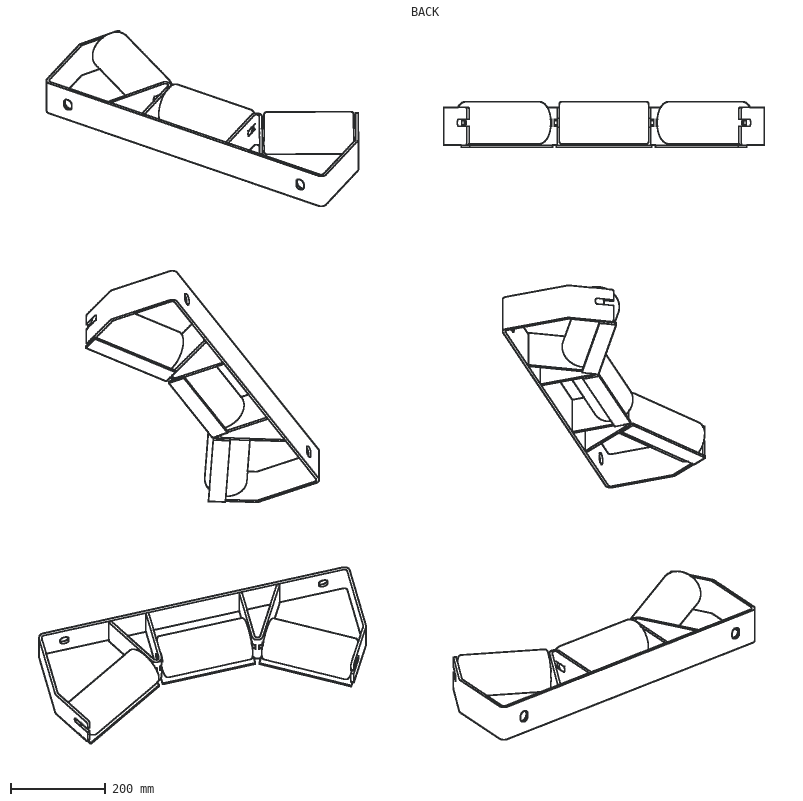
import cadquery as cq
import math

frame_length = 680.0
frame_height = 80.0
bar_thickness = 6.0
bend_radius = 12.0
end_leg_tip = 30.0
end_leg_corner_radius = 5.0

roller_radius = 45.0
roller_length = 190.0
roller_edge_radius = 6.0
axis_height = 47.5
trough_angle = 30.0
mounting_span = 198.0

middle_roller_y = 100.5
side_roller_x = 215.0
side_roller_y = 158.07

shaft_radius = 10.0
shaft_flat_width = 14.0
shaft_rear_flat = 9.0

strip_length = 203.0
strip_width = 36.0
strip_thickness = 5.0

fixing_slot_width = 19.0
fixing_slot_height = 26.0
fixing_slot_x = 283.0

slot_run = 45.0

half_span = mounting_span / 2
outer_half_span = half_span + bar_thickness
inner_bend_radius = bend_radius - bar_thickness
cos_trough = math.cos(math.radians(trough_angle))
sin_trough = math.sin(math.radians(trough_angle))

left_station = (-side_roller_x, side_roller_y, -trough_angle)
middle_station = (0, middle_roller_y, 0)
right_station = (side_roller_x, side_roller_y, trough_angle)
stations = [left_station, middle_station, right_station]


def left_roller_point(along, across):
    """XY of a point given along and across the left roller's axis, from the roller's centre."""
    return (
        -side_roller_x + along * cos_trough + across * sin_trough,
        side_roller_y - along * sin_trough + across * cos_trough,
    )


def across_at_x(along, x):
    """Distance across the left roller's axis at which a line of constant `along` reaches x."""
    return (x + side_roller_x - along * cos_trough) / sin_trough


def across_at_y(along, y):
    """Distance across the left roller's axis at which a line of constant `along` reaches y."""
    return (y - side_roller_y + along * sin_trough) / cos_trough


def place(body, station):
    """Move a body from the origin to a roller station."""
    x, y, angle = station
    return body.rotate((0, 0, 0), (0, 0, 1), angle).translate((x, y, 0))


def mirrored(points):
    """Points mirrored in X, in reverse order so that an outline can carry on through them."""
    return [(-x, y) for x, y in reversed(points)]


def round_corners(body, corners, radius):
    """Fillet the upright edges at the given XY corners."""
    for x, y in corners:
        edge = cq.selectors.NearestToPointSelector((x, y, frame_height / 2))
        body = body.edges("|Z").edges(edge).fillet(radius)
    return body


def round_tip_corners(body, tip):
    """Round the upper and lower corners at the free end of one end leg."""
    (outer_x, outer_y), (inner_x, inner_y) = tip
    for height in (0, frame_height):
        middle_of_edge = ((outer_x + inner_x) / 2, (outer_y + inner_y) / 2, height)
        edge = cq.selectors.NearestToPointSelector(middle_of_edge)
        body = body.edges(edge).fillet(end_leg_corner_radius)
    return body


def bar_along_x(radius, length):
    """Round bar along X at axis height, centred on the origin."""
    start = (-length / 2, 0, axis_height)
    return cq.Workplane("YZ", origin=start).circle(radius).extrude(length)


def flattened_bar(length):
    """Bar along X at axis height, round towards -Y, with flats above, below and towards +Y."""
    bar = bar_along_x(shaft_radius, length)
    flats = cq.Workplane("XY").box(length, 2 * shaft_radius, shaft_flat_width)
    return bar.intersect(flats.translate((0, shaft_rear_flat - shaft_radius, axis_height)))


def make_shaft_slot(station):
    """Drop-in slots for one shaft: seats that fit its ends, open towards +Y of the roller."""
    length = 2 * outer_half_span
    opening = cq.Workplane("XY").box(
        length, slot_run, shaft_flat_width, centered=(True, False, True)
    )
    slot = flattened_bar(length).union(opening.translate((0, 0, axis_height)))
    return place(slot, station)


def make_frame():
    """Long bar with both ends bent round to carry the outer ends of the side rollers."""
    left = -frame_length / 2
    inner_left = left + bar_thickness
    outer_knee = left_roller_point(-outer_half_span, across_at_x(-outer_half_span, left))
    inner_knee = left_roller_point(-half_span, across_at_x(-half_span, inner_left))
    outer_bends = [(left, 0), outer_knee]
    inner_bends = [inner_knee, (inner_left, bar_thickness)]
    tip = [
        left_roller_point(-outer_half_span, end_leg_tip),
        left_roller_point(-half_span, end_leg_tip),
    ]
    left_side = outer_bends + tip + inner_bends
    body = cq.Workplane("XY").polyline(left_side + mirrored(left_side)).close().extrude(frame_height)
    body = round_corners(body, outer_bends + mirrored(outer_bends), bend_radius)
    body = round_corners(body, inner_bends + mirrored(inner_bends), inner_bend_radius)
    body = round_tip_corners(body, tip)
    body = round_tip_corners(body, mirrored(tip))

    fixing_slots = (
        cq.Workplane("XZ")
        .pushPoints([(-fixing_slot_x, frame_height / 2), (fixing_slot_x, frame_height / 2)])
        .slot2D(fixing_slot_height, fixing_slot_width, 90)
        .extrude(-bar_thickness)
    )
    body = body.cut(fixing_slots)
    return body.cut(make_shaft_slot(left_station)).cut(make_shaft_slot(right_station))


def make_left_bracket():
    """Folded bar between the left and middle rollers, standing on the long side of the frame."""
    upright_x = -half_span
    bend_along = half_span + bend_radius
    bend_across = across_at_x(bend_along, upright_x - bend_radius)
    bend_x, bend_y = left_roller_point(bend_along, bend_across)
    crown_angle = math.radians(90 - trough_angle / 2)

    def crown(radius):
        return (bend_x + radius * math.cos(crown_angle), bend_y + radius * math.sin(crown_angle))

    foot_across = across_at_y(outer_half_span, bar_thickness)

    body = (
        cq.Workplane("XY")
        .moveTo(*left_roller_point(half_span, foot_across))
        .lineTo(*left_roller_point(half_span, bend_across))
        .threePointArc(crown(bend_radius), (upright_x, bend_y))
        .lineTo(upright_x, bar_thickness)
        .lineTo(upright_x - bar_thickness, bar_thickness)
        .lineTo(upright_x - bar_thickness, bend_y)
        .threePointArc(crown(inner_bend_radius), left_roller_point(outer_half_span, bend_across))
        .lineTo(*left_roller_point(outer_half_span, foot_across))
        .close()
        .extrude(frame_height)
    )
    return body.cut(make_shaft_slot(left_station)).cut(make_shaft_slot(middle_station))


def make_roller(station):
    """Roller with its shaft: round between the brackets, flattened inside the slots."""
    roller = bar_along_x(roller_radius, roller_length).edges("%CIRCLE").fillet(roller_edge_radius)
    neck = bar_along_x(shaft_radius, mounting_span)
    return place(roller.union(neck).union(flattened_bar(2 * outer_half_span)), station)


def make_strip(station):
    """Flat strip against the underside of the bars, from below the roller axis towards +Y."""
    strip = cq.Workplane("XY").box(
        strip_length, strip_width, strip_thickness, centered=(True, False, False)
    )
    return place(strip.translate((0, 0, -strip_thickness)), station)


frame = make_frame()
left_bracket = make_left_bracket()
right_bracket = left_bracket.mirror("YZ")
rollers = [make_roller(station) for station in stations]
strips = [make_strip(station) for station in stations]

bodies = [frame, left_bracket, right_bracket] + rollers + strips
result = cq.Compound.makeCompound([body.solids().val() for body in bodies])